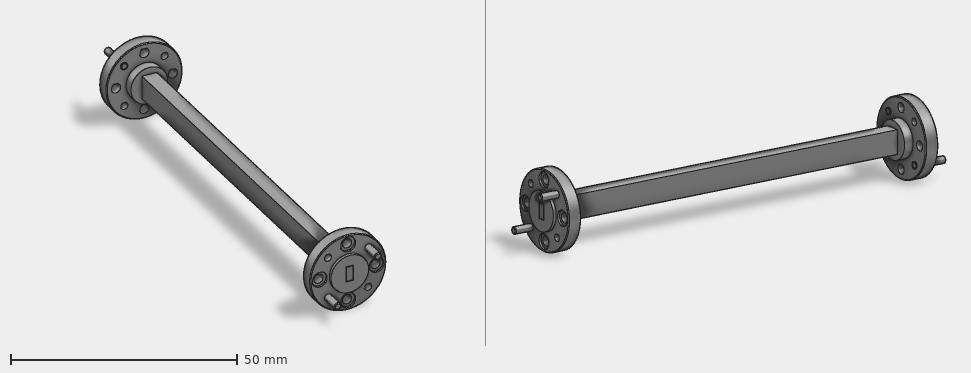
import cadquery as cq
import math

TOTAL_LENGTH = 109.4
HALF_LENGTH = TOTAL_LENGTH / 2

GUIDE_WIDTH = 3.7
GUIDE_HEIGHT = 5.7

FLANGE_DIAMETER = 19.0
FLANGE_THICKNESS = 3.4
FLANGE_CHAMFER = 0.2
PIN_PROTRUSION = 4.7
BOSS_DIAMETER = 9.4
BOSS_HEIGHT = 0.8
NECK_DIAMETER = 9.2
NECK_LENGTH = 2.3

FACE_X = HALF_LENGTH - PIN_PROTRUSION
FLANGE_BACK_X = FACE_X - FLANGE_THICKNESS
BOSS_X = FACE_X + BOSS_HEIGHT
NECK_X = FLANGE_BACK_X - NECK_LENGTH

RECESS_WIDTH = 1.7
RECESS_HEIGHT = 3.7
RECESS_DEPTH = 0.2

HOLE_CIRCLE_RADIUS = 7.1
BOLT_HOLE_DIAMETER = 2.3
COUNTERBORE_DIAMETER = 3.7
COUNTERBORE_DEPTH = 0.5
BOLT_HOLE_ANGLES = [0, 90, 180, 270]
PIN_HOLE_ANGLES = [45, 135, 225, 315]

PIN_DIAMETER = 1.7
PIN_CHAMFER = 0.2
PIN_ANGLES = [45, 225]


def circle_points(angles):
    """Points (y, z) on the hole circle at the given angles."""
    return [
        (
            HOLE_CIRCLE_RADIUS * math.cos(math.radians(angle)),
            HOLE_CIRCLE_RADIUS * math.sin(math.radians(angle)),
        )
        for angle in angles
    ]


def plane_at(x):
    """Work plane facing +X."""
    return cq.Workplane("YZ", origin=(x, 0, 0))


def at_other_end(body):
    """Copy of a +X end feature, turned half a turn about Z to the -X end."""
    return body.rotate((0, 0, 0), (0, 0, 1), 180)


def make_flange():
    """Flange with neck and boss at the +X end."""
    disc = plane_at(FLANGE_BACK_X).circle(FLANGE_DIAMETER / 2).extrude(FLANGE_THICKNESS)
    disc = disc.edges().chamfer(FLANGE_CHAMFER)
    neck = plane_at(NECK_X).circle(NECK_DIAMETER / 2).extrude(FLANGE_BACK_X - NECK_X)
    boss = plane_at(FACE_X).circle(BOSS_DIAMETER / 2).extrude(BOSS_HEIGHT)
    flange = disc.union(neck).union(boss)

    recess = plane_at(BOSS_X).rect(RECESS_WIDTH, RECESS_HEIGHT).extrude(-RECESS_DEPTH)
    bolt_points = circle_points(BOLT_HOLE_ANGLES)
    bolt_holes = plane_at(FACE_X).pushPoints(bolt_points).circle(BOLT_HOLE_DIAMETER / 2)
    counterbores = plane_at(FACE_X).pushPoints(bolt_points).circle(COUNTERBORE_DIAMETER / 2)
    pin_holes = plane_at(FACE_X).pushPoints(circle_points(PIN_HOLE_ANGLES)).circle(PIN_DIAMETER / 2)
    return (
        flange.cut(recess)
        .cut(bolt_holes.extrude(-FLANGE_THICKNESS))
        .cut(counterbores.extrude(-COUNTERBORE_DEPTH))
        .cut(pin_holes.extrude(-FLANGE_THICKNESS))
    )


def make_waveguide():
    """Guide bar with a flange at each end, in one piece."""
    bar = cq.Workplane("XY").box(2 * NECK_X, GUIDE_WIDTH, GUIDE_HEIGHT)
    flange = make_flange()
    return bar.union(flange).union(at_other_end(flange))


def make_pin(point):
    """Dowel pin at the +X end, flush with the flange back and chamfered at both ends."""
    length = HALF_LENGTH - FLANGE_BACK_X
    pin = plane_at(FLANGE_BACK_X).center(*point).circle(PIN_DIAMETER / 2).extrude(length)
    return pin.faces("|X").edges().chamfer(PIN_CHAMFER)


waveguide = make_waveguide()
pins = []
for point in circle_points(PIN_ANGLES):
    pin = make_pin(point)
    pins.append(pin.val())
    pins.append(at_other_end(pin).val())

result = cq.Compound.makeCompound([waveguide.val(), *pins])